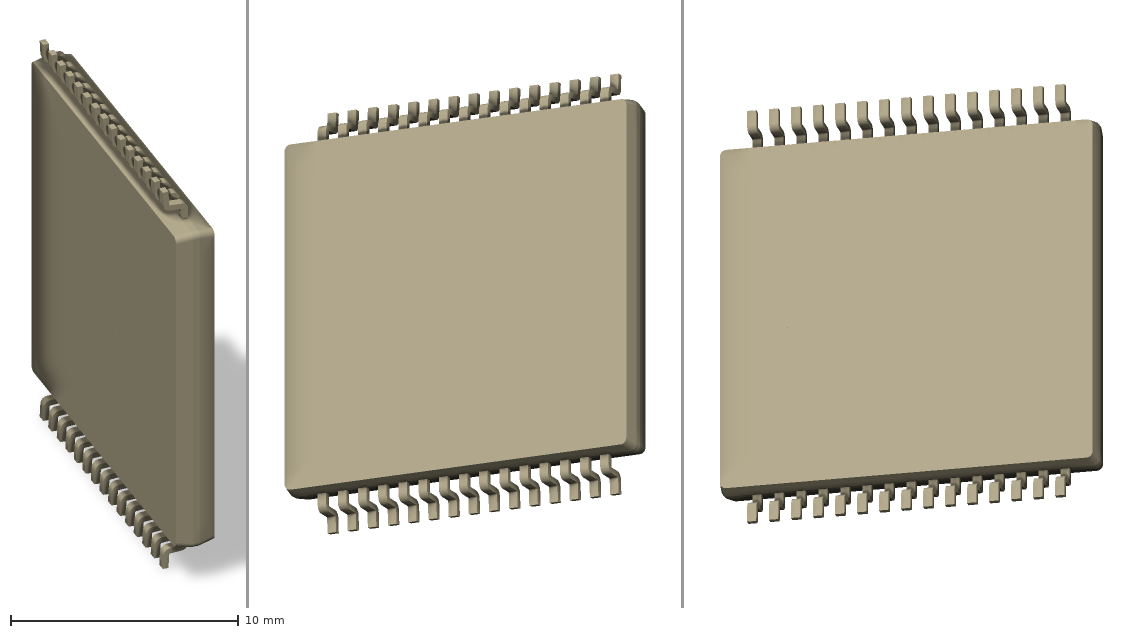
import cadquery as cq
import math

BODY_WIDTH = 17.2
BODY_HEIGHT = 16.0
BAND_THICKNESS = 0.33
FRONT_SHELL_DEPTH = 0.77
BACK_SHELL_DEPTH = 0.75
DRAFT_INSET = 0.13
CORNER_RADIUS = 0.29

LEAD_COUNT = 15
LEAD_ROW_SPAN = 14.0
LEAD_PITCH = LEAD_ROW_SPAN / (LEAD_COUNT - 1)
LEAD_WIDTH = 0.42
LEAD_THICKNESS = 0.27
INNER_BEND_RADIUS = 0.05
LEAD_ROOT_DEPTH = 0.27
OVERALL_HEIGHT = 19.15
FOOT_LENGTH = 0.98
LEAN = 3.0
FOOT_STANDOFF = 0.11

PAD_THICKNESS = 0.27
UPPER_PAD_WIDTH = 9.85
UPPER_PAD_TOP = 5.42
UPPER_PAD_BOTTOM = 0.6
UPPER_TAB_WIDTH = 0.46
UPPER_TAB_BOTTOM = -0.3
LOWER_PAD_INNER = 1.19
LOWER_PAD_OUTER = 6.99
LOWER_PAD_TOP = -0.65
LOWER_PAD_BOTTOM = -5.45
LOWER_TAB_INNER = 6.2
LOWER_TAB_OUTER = 7.2
LOWER_TAB_TOP = 0.08

BAND_FRONT = -BAND_THICKNESS / 2
BAND_BACK = BAND_THICKNESS / 2
FRONT_FACE = BAND_FRONT - FRONT_SHELL_DEPTH
FOOT_FRONT = FRONT_FACE - FOOT_STANDOFF


def rounded_outline(inset):
    """The body's outline moved in by inset, with corners of the same radius."""
    outline = cq.Sketch().rect(BODY_WIDTH - 2 * inset, BODY_HEIGHT - 2 * inset)
    return outline.vertices().fillet(CORNER_RADIUS)


def make_shell(start_y, depth):
    """A drafted shell from the band at start_y; a negative depth grows towards the front."""
    end_y = start_y + depth
    base = rounded_outline(0).moved(cq.Location(cq.Vector(0, 0, -start_y)))
    tip = rounded_outline(DRAFT_INSET).moved(cq.Location(cq.Vector(0, 0, -end_y)))
    return cq.Workplane("XZ").placeSketch(base, tip).loft(ruled=True)


def make_mould():
    band = cq.Workplane("XZ", origin=(0, BAND_BACK, 0)).placeSketch(rounded_outline(0))
    mould = band.extrude(BAND_THICKNESS)
    mould = mould.union(make_shell(BAND_FRONT, -FRONT_SHELL_DEPTH))
    return mould.union(make_shell(BAND_BACK, BACK_SHELL_DEPTH))


def make_lead():
    """One upper lead at X = 0: out of the band, forward to the front, then up into its foot."""
    lean = math.radians(LEAN)
    slope = math.tan(lean)
    tip_back = (FOOT_FRONT + LEAD_THICKNESS * math.cos(lean), OVERALL_HEIGHT / 2)
    tip_front = (FOOT_FRONT, tip_back[1] - LEAD_THICKNESS * math.sin(lean))
    heel_z = OVERALL_HEIGHT / 2 - FOOT_LENGTH
    heel_y = tip_front[0] + (tip_front[1] - heel_z) * slope
    instep_offset = LEAD_THICKNESS / (math.cos(lean) + math.sin(lean))
    stem_front = BAND_BACK - LEAD_THICKNESS
    arm_bottom = heel_z - (stem_front - heel_y) * slope
    arm_top = heel_z + LEAD_THICKNESS / math.cos(lean) - (BAND_BACK - heel_y) * slope
    root = BODY_HEIGHT / 2 - LEAD_ROOT_DEPTH
    outer_bends = [(BAND_BACK, arm_top), (heel_y, heel_z)]
    inner_bends = [(stem_front, arm_bottom), (heel_y + instep_offset, heel_z + instep_offset)]

    outline = [
        (BAND_BACK, root),
        outer_bends[0],
        inner_bends[1],
        tip_back,
        tip_front,
        outer_bends[1],
        inner_bends[0],
        (stem_front, root),
    ]
    lead = cq.Workplane("YZ").polyline(outline).close().extrude(LEAD_WIDTH / 2, both=True)

    outer_bend_radius = INNER_BEND_RADIUS + LEAD_THICKNESS
    bends = [(point, outer_bend_radius) for point in outer_bends]
    bends += [(point, INNER_BEND_RADIUS) for point in inner_bends]
    for (y, z), radius in bends:
        lead = lead.edges("|X").edges(cq.NearestToPointSelector((0, y, z))).fillet(radius)
    return lead


def make_housing(pads):
    """The moulded body with both rows of leads, recessed where the pads sit."""
    housing = make_mould()
    upper_lead = make_lead()
    lower_lead = upper_lead.mirror("XY")
    for index in range(LEAD_COUNT):
        x = (index - (LEAD_COUNT - 1) / 2) * LEAD_PITCH
        for lead in (upper_lead, lower_lead):
            housing = housing.union(lead.translate((x, 0, 0)))
    for pad in pads:
        housing = housing.cut(pad)
    return housing


def make_pad(outline):
    """A pad with the given X, Z outline, sunk into the front face."""
    plane = cq.Workplane("XZ", origin=(0, FRONT_FACE, 0))
    return plane.polyline(outline).close().extrude(-PAD_THICKNESS)


def make_upper_pad():
    """A wide pad with a narrow tab hanging from the middle of its lower edge."""
    half_width = UPPER_PAD_WIDTH / 2
    half_tab = UPPER_TAB_WIDTH / 2
    return make_pad([
        (-half_width, UPPER_PAD_TOP),
        (half_width, UPPER_PAD_TOP),
        (half_width, UPPER_PAD_BOTTOM),
        (half_tab, UPPER_PAD_BOTTOM),
        (half_tab, UPPER_TAB_BOTTOM),
        (-half_tab, UPPER_TAB_BOTTOM),
        (-half_tab, UPPER_PAD_BOTTOM),
        (-half_width, UPPER_PAD_BOTTOM),
    ])


def make_lower_pad(side):
    """A lower pad, with a tab over its outer corner; side is -1 for the left and 1 for the right."""
    return make_pad([
        (side * LOWER_PAD_INNER, LOWER_PAD_BOTTOM),
        (side * LOWER_PAD_INNER, LOWER_PAD_TOP),
        (side * LOWER_TAB_INNER, LOWER_PAD_TOP),
        (side * LOWER_TAB_INNER, LOWER_TAB_TOP),
        (side * LOWER_TAB_OUTER, LOWER_TAB_TOP),
        (side * LOWER_TAB_OUTER, LOWER_PAD_TOP),
        (side * LOWER_PAD_OUTER, LOWER_PAD_TOP),
        (side * LOWER_PAD_OUTER, LOWER_PAD_BOTTOM),
    ])


upper_pad = make_upper_pad()
lower_pads = [make_lower_pad(side) for side in (-1, 1)]
housing = make_housing([upper_pad, *lower_pads])

result = cq.Compound.makeCompound([
    housing.val(),
    upper_pad.val(),
    *[pad.val() for pad in lower_pads],
])